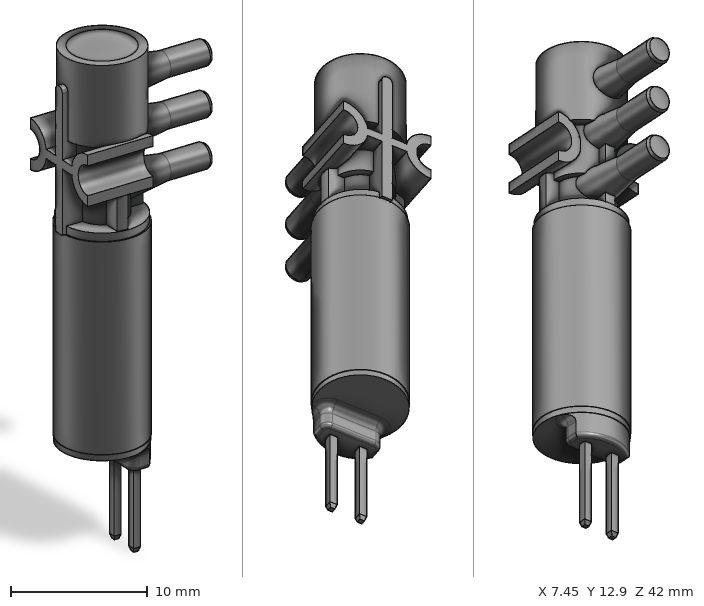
import cadquery as cq
import math


plug_bottom = 7.1
body_bottom = 9.1
body_foot_top = 9.6
body_top = 26.95
collar_top = 27.6
neck_top = 30.35
hub_top = 34.5
cap_top = 41.2
overall_height = 41.95

foot_radius = 3.55
body_radius = 3.6
collar_radius = 3.5
neck_radius = 2.1
hub_radius = 2.6
cap_radius = 3.35
dome_radius = 2.65

front_face = -3.8
rib_width = 0.9
rib_top = 38.95

overall_width = 7.45
clip_center_height = 32.73
clip_outer_radius = 2.1
clip_inner_radius = 1.2
clip_back = 1.97
web_thickness = 0.75

peg_heights = (29.8, 34.0, 38.2)
peg_tip = 9.1
peg_radius = 1.05
peg_chamfer = 0.25
peg_cone_start = 5.35
peg_cone_angle = 8.0

plug_width = 5.05
plug_front = 0.9
plug_radius = 3.52
plug_corner_radius = 0.67
plug_bottom_fillet = 0.35
plug_root_fillet = 0.75

pin_size = 0.65
pin_spacing = 2.5
pin_y = 2.0
pin_tip_size = 0.38
pin_tip_length = 0.38


def cylinder(radius, bottom, top):
    """Cylinder on the main axis between two heights."""
    return cq.Workplane("XY").workplane(offset=bottom).circle(radius).extrude(top - bottom)


def make_dome():
    """Shallow spherical cap on the top face."""
    rise = overall_height - cap_top
    sphere_radius = (dome_radius**2 + rise**2) / (2 * rise)
    sphere_center = overall_height - sphere_radius
    half_angle = math.asin(dome_radius / sphere_radius) / 2
    arc_middle = (
        sphere_radius * math.sin(half_angle),
        sphere_center + sphere_radius * math.cos(half_angle),
    )
    return (
        cq.Workplane("XZ")
        .moveTo(0, cap_top)
        .lineTo(dome_radius, cap_top)
        .threePointArc(arc_middle, (0, overall_height))
        .close()
        .revolve(360, (0, 0, 0), (0, 1, 0))
    )


def make_column():
    """Stack of coaxial cylinders with the dome on top."""
    column = cylinder(foot_radius, body_bottom, body_foot_top)
    column = column.union(cylinder(body_radius, body_foot_top, body_top))
    column = column.union(cylinder(collar_radius, body_top, collar_top))
    column = column.union(cylinder(neck_radius, collar_top, neck_top))
    column = column.union(cylinder(hub_radius, neck_top, hub_top))
    column = column.union(cylinder(cap_radius, hub_top, cap_top))
    return column.union(make_dome())


def make_cross_ribs():
    """Crossed plates between collar and cap, bounded by the cap radius."""
    height = hub_top - collar_top
    rib_plane = cq.Workplane("XY").workplane(offset=collar_top)
    side_plate = rib_plane.center(0, -rib_width / 2).rect(2 * cap_radius, rib_width).extrude(height)
    back_plate = rib_plane.center(0, cap_radius / 2).rect(rib_width, cap_radius).extrude(height)
    return side_plate.union(back_plate).intersect(cylinder(cap_radius, collar_top, hub_top))


def make_front_rib():
    """Upright rib on the front with a round top end, reaching back to the axis."""
    round_center = rib_top - rib_width / 2
    return (
        cq.Workplane("XZ", origin=(0, front_face, 0))
        .moveTo(-rib_width / 2, body_top)
        .lineTo(rib_width / 2, body_top)
        .lineTo(rib_width / 2, round_center)
        .threePointArc((0, rib_top), (-rib_width / 2, round_center))
        .close()
        .extrude(front_face)
    )


def side_bars(radius):
    """Pair of round bars centered on the outer side planes, as long as the clips."""
    return (
        cq.Workplane("XZ", origin=(0, clip_back, clip_center_height))
        .pushPoints([(-overall_width / 2, 0), (overall_width / 2, 0)])
        .circle(radius)
        .extrude(clip_back - front_face)
    )


def make_clips():
    """Half-round bars on both sides, joined by a flat web; the bores are cut later."""
    clip_length = clip_back - front_face
    clip_plane = cq.Workplane("XZ", origin=(0, clip_back, clip_center_height))
    web = clip_plane.rect(overall_width, web_thickness).extrude(clip_length)
    envelope = clip_plane.rect(overall_width, 2 * clip_outer_radius).extrude(clip_length)
    return web.union(side_bars(clip_outer_radius)).intersect(envelope)


def make_peg(height):
    """Round peg along +Y whose root widens into a cone toward the axis."""
    root_radius = peg_radius + peg_cone_start * math.tan(math.radians(peg_cone_angle))
    return (
        cq.Workplane("XY", origin=(0, 0, height))
        .polyline([
            (0, 0),
            (root_radius, 0),
            (peg_radius, peg_cone_start),
            (peg_radius, peg_tip - peg_chamfer),
            (peg_radius - peg_chamfer / 2, peg_tip),
            (0, peg_tip),
        ])
        .close()
        .revolve(360, (0, 0, 0), (0, 1, 0))
    )


def make_plug():
    """Rounded plug below the body, flared at its root and cut off by a cylinder at the back."""
    plug_length = 2 * plug_radius
    block = (
        cq.Workplane("XY", origin=(0, plug_front + plug_length / 2, plug_bottom))
        .rect(plug_width, plug_length)
        .extrude(body_bottom - plug_bottom)
        .edges("|Z and <Y")
        .fillet(plug_corner_radius)
    )
    slab = (
        cq.Workplane("XY", origin=(0, 0, body_bottom))
        .rect(2 * plug_length, 4 * plug_length)
        .extrude(body_foot_top - body_bottom)
    )
    root_edges = slab.union(block).faces("<Z[1]").edges("not(<X or >X or <Y or >Y)")
    flared = root_edges.fillet(plug_root_fillet)
    plug = flared.intersect(cylinder(plug_radius, plug_bottom, body_foot_top))
    return plug.faces("<Z").edges().fillet(plug_bottom_fillet)


def make_pin(x):
    """Square pin with a tapered tip."""
    shank = (
        cq.Workplane("XY", origin=(x, pin_y, pin_tip_length))
        .rect(pin_size, pin_size)
        .extrude(plug_bottom + plug_bottom_fillet - pin_tip_length)
    )
    tip = (
        cq.Workplane("XY", origin=(x, pin_y, 0))
        .rect(pin_tip_size, pin_tip_size)
        .workplane(offset=pin_tip_length)
        .rect(pin_size, pin_size)
        .loft(ruled=True)
    )
    return shank.union(tip)


result = make_column()
result = result.union(make_cross_ribs())
result = result.union(make_front_rib())
result = result.union(make_clips())
result = result.cut(side_bars(clip_inner_radius))
for peg_height in peg_heights:
    result = result.union(make_peg(peg_height))
result = result.union(make_plug())
for pin_x in (-pin_spacing / 2, pin_spacing / 2):
    result = result.union(make_pin(pin_x))